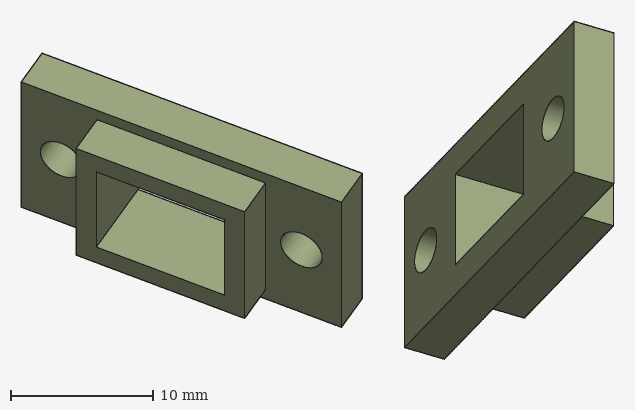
import cadquery as cq

plate_length = 25.4
plate_height = plate_length / 2
plate_thickness = 3.18

window_length = 10.15
window_height = 7.62
collar_wall = 1.6
collar_depth = plate_thickness
collar_length = window_length + 2 * collar_wall
collar_height = window_height + 2 * collar_wall
total_depth = plate_thickness + collar_depth

hole_diameter = 3.3
hole_spacing = 19.05


def block(length, depth, height):
    """Box centred in X and Z, reaching from Y = 0 toward -Y."""
    return cq.Workplane("XZ").rect(length, height).extrude(depth)


plate = block(plate_length, plate_thickness, plate_height)
collar = block(collar_length, total_depth, collar_height)
window = block(window_length, total_depth, window_height)

mounting_holes = (
    cq.Workplane("XZ")
    .pushPoints([(side * hole_spacing / 2, 0) for side in (-1, 1)])
    .circle(hole_diameter / 2)
    .extrude(plate_thickness)
)

result = plate.union(collar).cut(window).cut(mounting_holes)